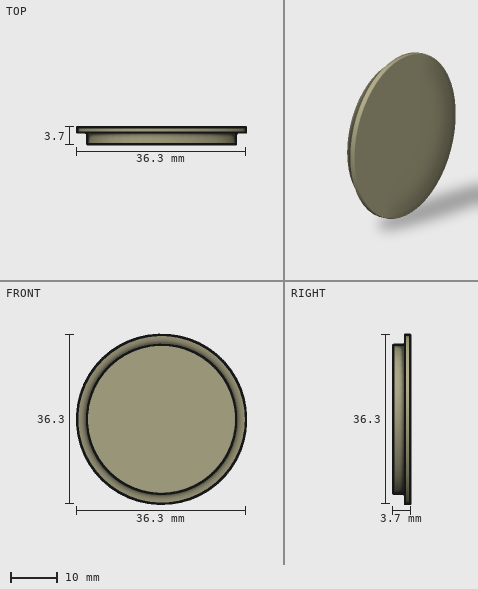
import cadquery as cq

flange_diameter = 36.3
flange_thickness = 1.15
flange_edge_round = 0.18

total_depth = 3.7
plug_diameter = 32.0
plug_edge_round = 0.35
root_fillet = 0.35

flange_radius = flange_diameter / 2
plug_radius = plug_diameter / 2
flange_face_y = total_depth - flange_thickness


def revolved_disc(radius, front_y, back_y):
    """Solid disc on the Y axis between two Y positions."""
    profile = cq.Workplane("XY").moveTo(0, front_y).lineTo(radius, front_y)
    profile = profile.lineTo(radius, back_y).lineTo(0, back_y).close()
    return profile.revolve(360, (0, 0, 0), (0, 1, 0))


def corner_ring():
    """Concave fillet ring filling the corner between plug and flange."""
    outer_radius = plug_radius + root_fillet
    front_y = flange_face_y - root_fillet
    profile = cq.Workplane("XY").moveTo(plug_radius, front_y)
    profile = profile.radiusArc((outer_radius, flange_face_y), root_fillet)
    profile = profile.lineTo(plug_radius, flange_face_y).close()
    return profile.revolve(360, (0, 0, 0), (0, 1, 0))


flange = revolved_disc(flange_radius, flange_face_y, total_depth)
flange = flange.edges("%CIRCLE").fillet(flange_edge_round)

plug = revolved_disc(plug_radius, 0, flange_face_y)
plug = plug.faces("<Y").edges().fillet(plug_edge_round)

result = flange.union(plug).union(corner_ring())